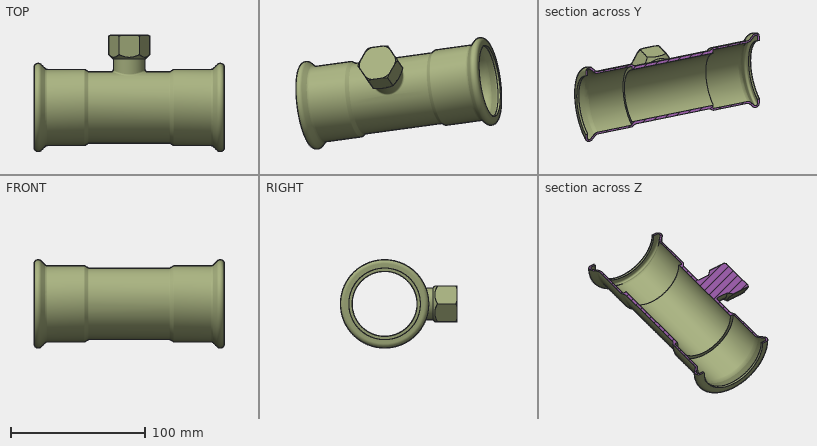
import cadquery as cq
import math

length = 142.0
half_length = length / 2
pipe_radius = 53.4 / 2
socket_radius = 57.0 / 2
bore_radius = 48.3 / 2
socket_bore_radius = 53.4 / 2
socket_wall = socket_radius - socket_bore_radius

bead_outer_radius = 66.0 / 2
bead_round = 3.1
bead_flare_angle = math.radians(45)
bead_x = -half_length + bead_round
bead_r = bead_outer_radius - bead_round
groove_round = bead_round - socket_wall
flare_blend = 2.1

socket_length = 37.8
step_x = -half_length + socket_length
step_length = 3.0
step_blend = 0.7

branch_end = 87.0 - bead_outer_radius
neck_radius = 23.9 / 2
neck_blend = 1.3
nut_length = 18.0
nut_across_flats = 26.7
nut_corner_radius = nut_across_flats / math.sqrt(3)
nut_end_chamfer_radius = 14.0
nut_end_chamfer_length = 0.9
nut_base = branch_end - nut_length


def ring_edges_at(x):
    """Selects the circular edges lying in the plane at x."""
    tolerance = 0.01
    return cq.selectors.BoxSelector(
        (x - tolerance, -length, -length), (x + tolerance, length, length), boundingbox=True
    )


def bead_point(radius, angle):
    """Point on a circle about the bead centre; angle runs from the radial direction toward +X."""
    return (bead_x + radius * math.sin(angle), bead_r + radius * math.cos(angle))


def flare_end_x(bead_radius, tube_radius):
    """Where the cone tangent to the bead meets the tube behind it."""
    start_x, start_r = bead_point(bead_radius, bead_flare_angle)
    return start_x + (start_r - tube_radius) / math.tan(bead_flare_angle)


def add_bead_and_flare(profile, bead_radius, tube_radius):
    """Continues a profile from the front of the bead, over it and down to the tube."""
    arc_middle = (bead_flare_angle - math.pi / 2) / 2
    return (
        profile.threePointArc(bead_point(bead_radius, arc_middle), bead_point(bead_radius, bead_flare_angle))
        .lineTo(flare_end_x(bead_radius, tube_radius), tube_radius)
    )


def revolve_about_x(profile):
    return profile.close().revolve(360, (0, 0, 0), (1, 0, 0))


def make_half_body():
    """Outside of the left half, revolved about X."""
    profile = cq.Workplane("XY").moveTo(-half_length, 0).lineTo(-half_length, bead_r)
    profile = (
        add_bead_and_flare(profile, bead_round, socket_radius)
        .lineTo(step_x, socket_radius)
        .lineTo(step_x + step_length, pipe_radius)
        .lineTo(0, pipe_radius)
        .lineTo(0, 0)
    )
    body = revolve_about_x(profile)
    body = body.edges(ring_edges_at(flare_end_x(bead_round, socket_radius))).fillet(flare_blend)
    for x in (step_x, step_x + step_length):
        body = body.edges(ring_edges_at(x)).fillet(step_blend)
    return body


def make_half_bore():
    """Left half of the bore: mouth lip, seal groove inside the bead, socket and stop shoulder."""
    lip_x = -half_length + socket_wall
    profile = (
        cq.Workplane("XY")
        .moveTo(-half_length, 0)
        .lineTo(-half_length, socket_bore_radius)
        .lineTo(lip_x, socket_bore_radius)
        .lineTo(lip_x, bead_r)
    )
    profile = (
        add_bead_and_flare(profile, groove_round, socket_bore_radius)
        .lineTo(step_x, socket_bore_radius)
        .lineTo(step_x, bore_radius)
        .lineTo(0, bore_radius)
        .lineTo(0, 0)
    )
    bore = revolve_about_x(profile)
    groove_edge = ring_edges_at(flare_end_x(groove_round, socket_bore_radius))
    return bore.edges(groove_edge).fillet(flare_blend + socket_wall)


def both_halves(half):
    return half.union(half.mirror("YZ"))


def make_neck():
    """Round neck from the pipe axis out to the nut."""
    return cq.Workplane("XZ").circle(neck_radius).extrude(-nut_base)


def make_nut():
    """Hexagon with corners on X, trimmed by a turned blank that chamfers both ends."""
    hexagon = (
        cq.Workplane("XZ", origin=(0, nut_base, 0))
        .polygon(6, 2 * nut_corner_radius)
        .extrude(-nut_length)
    )
    blank = (
        cq.Workplane("XY")
        .moveTo(0, nut_base)
        .lineTo(neck_radius, nut_base)
        .lineTo(nut_corner_radius, nut_base + nut_corner_radius - neck_radius)
        .lineTo(nut_corner_radius, branch_end - nut_end_chamfer_length)
        .lineTo(nut_end_chamfer_radius, branch_end)
        .lineTo(0, branch_end)
        .close()
        .revolve(360, (0, 0, 0), (0, 1, 0))
    )
    return hexagon.intersect(blank)


body = both_halves(make_half_body()).clean().union(make_neck())
seam_margin = 1.4
seam_reach = neck_radius + seam_margin
seam = cq.selectors.BoxSelector(
    (-seam_reach, bore_radius - seam_margin, -seam_reach),
    (seam_reach, pipe_radius + seam_margin, seam_reach),
    boundingbox=True,
)
body = body.edges(seam).fillet(neck_blend)
result = body.union(make_nut()).cut(both_halves(make_half_bore()))